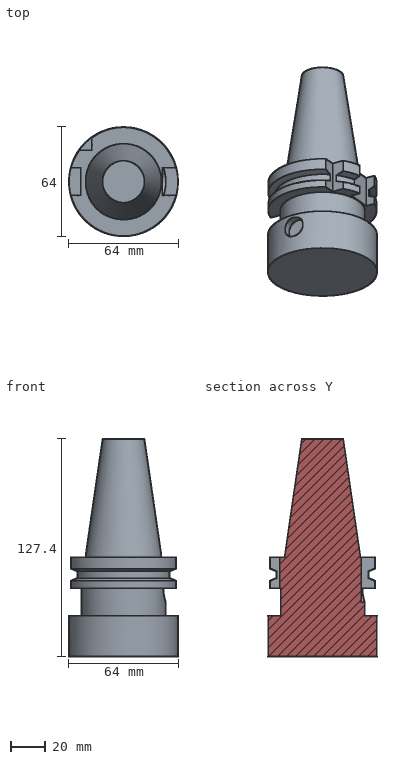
import cadquery as cq

total_height = 127.4
taper_length = 68.4
gauge_z = total_height - taper_length
gauge_to_flange_bottom = 19.1
gauge_to_flange_top = 0.8
gauge_to_groove_center = 11.1
flange_bottom_z = gauge_z - gauge_to_flange_bottom
flange_top_z = gauge_z - gauge_to_flange_top
groove_center_z = gauge_z - gauge_to_groove_center
body_height = 24.0

gauge_diameter = 44.45
taper_ratio = 7 / 24
small_end_diameter = gauge_diameter - taper_ratio * taper_length
flange_diameter = 63.55
neck_diameter = 49.5
body_diameter = 64.0

groove_floor_diameter = 56.25
groove_mouth_width = 7.0
groove_floor_width = 3.9

slot_width = 16.1
shallow_slot_floor_x = 25.0
deep_slot_floor_x = 22.8
notch_corner = 18.5

side_hole_diameter = 12.3
side_hole_z = 16.2
side_hole_depth = 5.0


def make_turned_blank():
    """Nose, neck, grooved flange and 7/24 taper revolved about Z."""
    body_r = body_diameter / 2
    neck_r = neck_diameter / 2
    flange_r = flange_diameter / 2
    groove_r = groove_floor_diameter / 2
    gauge_r = gauge_diameter / 2
    half_mouth = groove_mouth_width / 2
    half_floor = groove_floor_width / 2
    profile = [
        (0, 0),
        (body_r, 0),
        (body_r, body_height),
        (neck_r, body_height),
        (neck_r, flange_bottom_z),
        (flange_r, flange_bottom_z),
        (flange_r, groove_center_z - half_mouth),
        (groove_r, groove_center_z - half_floor),
        (groove_r, groove_center_z + half_floor),
        (flange_r, groove_center_z + half_mouth),
        (flange_r, flange_top_z),
        (gauge_r, flange_top_z),
        (gauge_r, gauge_z),
        (small_end_diameter / 2, total_height),
        (0, total_height),
    ]
    return cq.Workplane("XZ").polyline(profile).close().revolve(360, (0, 0, 0), (0, 1, 0))


def make_flange_cutter(x_min, x_max, y_min, y_max):
    """Rectangular block spanning the full height of the flange."""
    flange_height = flange_top_z - flange_bottom_z
    block = cq.Workplane("XY").box(x_max - x_min, y_max - y_min, flange_height, centered=False)
    return block.translate((x_min, y_min, flange_bottom_z))


def make_shallow_slot():
    """Drive slot on the -X side, clear of the neck."""
    return make_flange_cutter(-body_diameter / 2, -shallow_slot_floor_x, -slot_width / 2, slot_width / 2)


def make_deep_slot():
    """Drive slot on the +X side, with a full-round end that runs out into the neck."""
    outer_x = body_diameter / 2
    slot = make_flange_cutter(deep_slot_floor_x, outer_x, -slot_width / 2, slot_width / 2)
    round_end = (
        cq.Workplane("YZ", origin=(deep_slot_floor_x, 0, flange_bottom_z))
        .circle(slot_width / 2)
        .extrude(outer_x - deep_slot_floor_x)
    )
    return slot.union(round_end)


def make_orientation_notch():
    """Square-cornered notch through the flange at the (-X, +Y) quarter."""
    outer = body_diameter / 2
    return make_flange_cutter(-outer, -notch_corner, notch_corner, outer)


def make_side_hole():
    """Radial hole bored inward from the +Y side of the body."""
    floor_y = body_diameter / 2 - side_hole_depth
    return (
        cq.Workplane("XZ", origin=(0, floor_y, side_hole_z))
        .circle(side_hole_diameter / 2)
        .extrude(-body_diameter / 2)
    )


result = (
    make_turned_blank()
    .cut(make_shallow_slot())
    .cut(make_deep_slot())
    .cut(make_orientation_notch())
    .cut(make_side_hole())
)